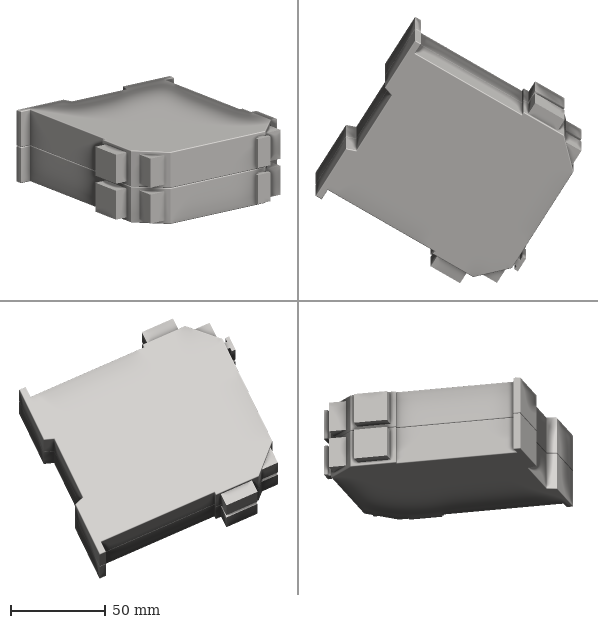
import cadquery as cq

module_count = 2
overall_height = 40.0
overall_width = 107.0
overall_length = 114.0
module_height = overall_height / module_count
edge_radius = 0.5

housing_length = 110.0
foot_thickness = 3.8
foot_half_width = 51.0
neck_half_width = 44.8
head_start = 70.0
head_half_width = 46.5
corner_cut = 14.9

notch_depth = 5.2
notch_mouth_half_width = 19.8
notch_floor_half_width = 18.0

terminal_height = 16.1
terminal_start = 73.0
terminal_length = 18.2
corner_terminal_end = 107.8
corner_terminal_half_width = 43.2

latch_center = 27.8
stem_width = 3.8
cap_width = 8.2
cap_thickness = 2.2


def centered_box(x_start, x_end, y_center, width):
    """Box of terminal height between two X limits, centred in the height of one module."""
    block = cq.Workplane("XY").box(x_end - x_start, width, terminal_height)
    return block.translate(((x_start + x_end) / 2, y_center, module_height / 2))


def make_housing():
    """Round-edged plate with the rail notch, the two feet and the cut head corners."""
    upper_outline = [
        (notch_depth, notch_floor_half_width),
        (0, notch_mouth_half_width),
        (0, foot_half_width),
        (foot_thickness, foot_half_width),
        (foot_thickness, neck_half_width),
        (head_start, neck_half_width),
        (head_start, head_half_width),
        (housing_length - corner_cut, head_half_width),
        (housing_length, head_half_width - corner_cut),
    ]
    lower_outline = [(x, -y) for x, y in reversed(upper_outline)]
    plate = cq.Workplane("XY").polyline(upper_outline + lower_outline).close().extrude(module_height)
    return plate.faces("<Z or >Z").edges().fillet(edge_radius)


def make_side_terminals():
    """Terminal blocks standing out of both long sides, made as one bar through the housing."""
    terminal_end = terminal_start + terminal_length
    return centered_box(terminal_start, terminal_end, 0, overall_width)


def make_corner_terminals():
    """Terminal blocks filling the cut corners, made as one bar through the housing."""
    bar_start = housing_length - corner_cut
    return centered_box(bar_start, corner_terminal_end, 0, 2 * corner_terminal_half_width)


def make_latch():
    """T-shaped latch standing out of the end face, rooted inside the housing."""
    cap_start = overall_length - cap_thickness
    stem_root = housing_length - cap_thickness
    stem = centered_box(stem_root, cap_start, latch_center, stem_width)
    cap = centered_box(cap_start, overall_length, latch_center, cap_width)
    return stem.union(cap)


module = make_housing()
for attachment in (make_side_terminals(), make_corner_terminals(), make_latch()):
    module = module.union(attachment)

result = module
for level in range(1, module_count):
    result = result.union(module.translate((0, 0, level * module_height)))